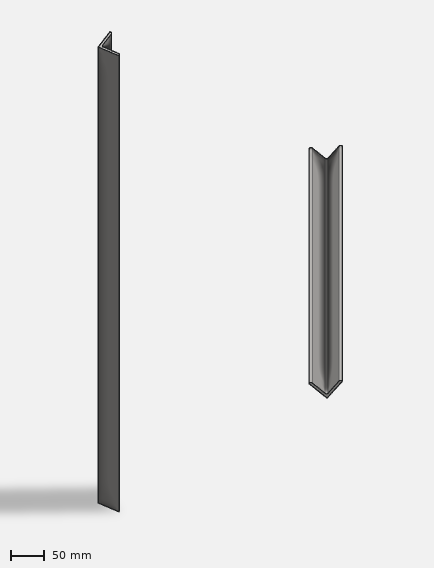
import cadquery as cq

leg_width = 35.0
thickness = 4.0
length = 1000.0
root_radius = 3.0
toe_radius = 3.0


def sharp_angle_bar():
    """L-shaped bar with its outer corner on the Z axis and all edges sharp."""
    section = (
        cq.Workplane("XY")
        .lineTo(leg_width, 0)
        .lineTo(leg_width, thickness)
        .lineTo(thickness, thickness)
        .lineTo(thickness, leg_width)
        .lineTo(0, leg_width)
        .close()
    )
    return section.extrude(length)


def round_upright_edges(bar, places, radius):
    """Fillet the full-length edges that pass through the given XY places."""
    mid_height = length / 2
    for x, y in places:
        nearest_edge = cq.selectors.NearestToPointSelector((x, y, mid_height))
        bar = bar.edges("|Z").edges(nearest_edge).fillet(radius)
    return bar


inner_corner = [(thickness, thickness)]
inner_toes = [(leg_width, thickness), (thickness, leg_width)]

result = sharp_angle_bar()
result = round_upright_edges(result, inner_corner, root_radius)
result = round_upright_edges(result, inner_toes, toe_radius)